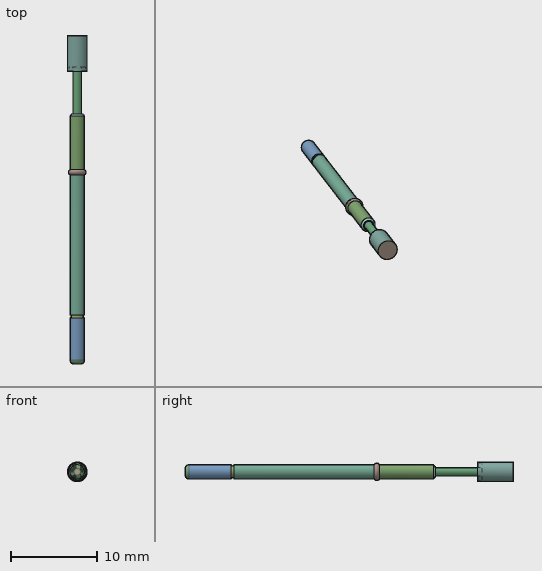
import cadquery as cq
import math

total_length = 38.1

head_radius = 1.15
head_length = 4.15

recess_depth = 0.5
recess_floor_radius = 0.9

rod_radius = 0.5
rod_length = 4.9

sleeve_radius = 0.85
sleeve_mouth_chamfer = 0.23

collar_height = 0.2
collar_width = 0.6
collar_centre_from_head_end = 15.85

groove_depth = 0.15
groove_width = 0.35
groove_centre_from_head_end = 32.58

tail_round = 0.45

head_end = total_length / 2
head_shoulder = head_end - head_length
recess_floor = head_shoulder + recess_depth
sleeve_mouth = head_shoulder - rod_length
collar_centre = head_end - collar_centre_from_head_end
groove_centre = head_end - groove_centre_from_head_end
tail_end = -total_length / 2

tail_round_centre_radius = sleeve_radius - tail_round
tail_round_centre_y = tail_end + tail_round
tail_round_mid = (
    tail_round_centre_radius + tail_round * math.cos(math.pi / 4),
    tail_round_centre_y - tail_round * math.sin(math.pi / 4),
)

profile = (
    cq.Workplane("XY")
    .moveTo(0, head_end)
    .lineTo(head_radius, head_end)
    .lineTo(head_radius, head_shoulder)
    .lineTo(recess_floor_radius, recess_floor)
    .lineTo(rod_radius, recess_floor)
    .lineTo(rod_radius, sleeve_mouth)
    .lineTo(sleeve_radius - sleeve_mouth_chamfer, sleeve_mouth)
    .lineTo(sleeve_radius, sleeve_mouth - sleeve_mouth_chamfer)
    .lineTo(sleeve_radius, collar_centre + collar_width / 2)
    .threePointArc(
        (sleeve_radius + collar_height, collar_centre),
        (sleeve_radius, collar_centre - collar_width / 2),
    )
    .lineTo(sleeve_radius, groove_centre + groove_width / 2)
    .threePointArc(
        (sleeve_radius - groove_depth, groove_centre),
        (sleeve_radius, groove_centre - groove_width / 2),
    )
    .lineTo(sleeve_radius, tail_round_centre_y)
    .threePointArc(tail_round_mid, (tail_round_centre_radius, tail_end))
    .lineTo(0, tail_end)
    .close()
)

result = profile.revolve(360, (0, 0, 0), (0, 1, 0))